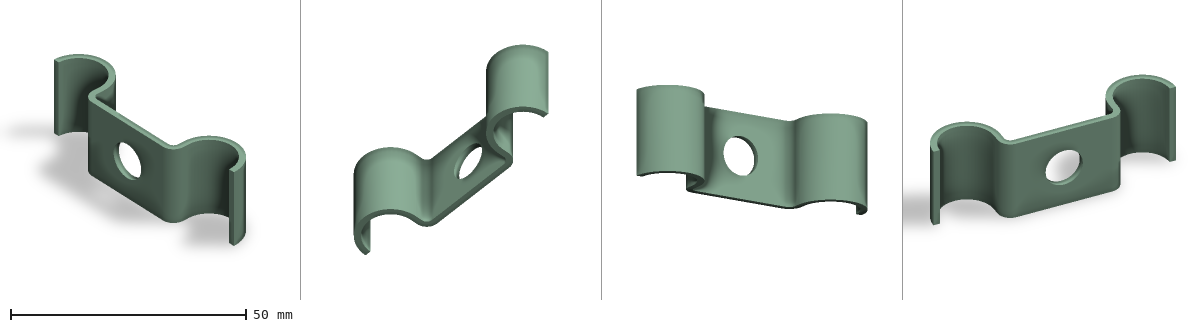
import cadquery as cq

overall_length = 57.0
overall_depth = 12.62
strip_width = 19.05
thickness = 1.52
cradle_inner_radius = 6.35
bend_inner_radius = 1.5
hole_diameter = 8.73

cradle_outer_radius = cradle_inner_radius + thickness
bend_outer_radius = bend_inner_radius + thickness
cradle_center_x = overall_length / 2 - cradle_outer_radius

web_front_y = cradle_outer_radius - overall_depth
web_back_y = web_front_y + thickness
bend_center_y = web_front_y + bend_outer_radius

leg_inner_x = cradle_center_x - cradle_outer_radius
leg_outer_x = leg_inner_x + thickness
bend_center_x = leg_outer_x - bend_outer_radius


def block(x_min, x_max, y_min, y_max):
    """Box over the full strip width, centred on Z = 0."""
    return (
        cq.Workplane("XY")
        .box(x_max - x_min, y_max - y_min, strip_width)
        .translate(((x_min + x_max) / 2, (y_min + y_max) / 2, 0))
    )


def ring(center_x, center_y, inner_radius, outer_radius):
    """Full tube over the strip width, centred on Z = 0."""
    return (
        cq.Workplane("XY", origin=(center_x, center_y, -strip_width / 2))
        .circle(outer_radius)
        .circle(inner_radius)
        .extrude(strip_width)
    )


def cradle():
    """Half tube that opens toward -Y."""
    tube = ring(cradle_center_x, 0, cradle_inner_radius, cradle_outer_radius)
    closed_half = block(leg_inner_x, overall_length / 2, 0, cradle_outer_radius)
    return tube.intersect(closed_half)


def bend():
    """Quarter tube between the web and the leg."""
    tube = ring(bend_center_x, bend_center_y, bend_inner_radius, bend_outer_radius)
    quarter = block(bend_center_x, leg_outer_x, web_front_y, bend_center_y)
    return tube.intersect(quarter)


def arm():
    """Everything on the +X side of the web: bend, leg and cradle."""
    leg = block(leg_inner_x, leg_outer_x, bend_center_y, 0)
    return bend().union(leg).union(cradle())


def web():
    """Flat middle plate with a round mounting hole through its centre."""
    plate = block(-bend_center_x, bend_center_x, web_front_y, web_back_y)
    return plate.faces("<Y").workplane(centerOption="CenterOfMass").hole(hole_diameter)


right_arm = arm()
left_arm = right_arm.mirror("YZ")
result = web().union(right_arm).union(left_arm).clean()